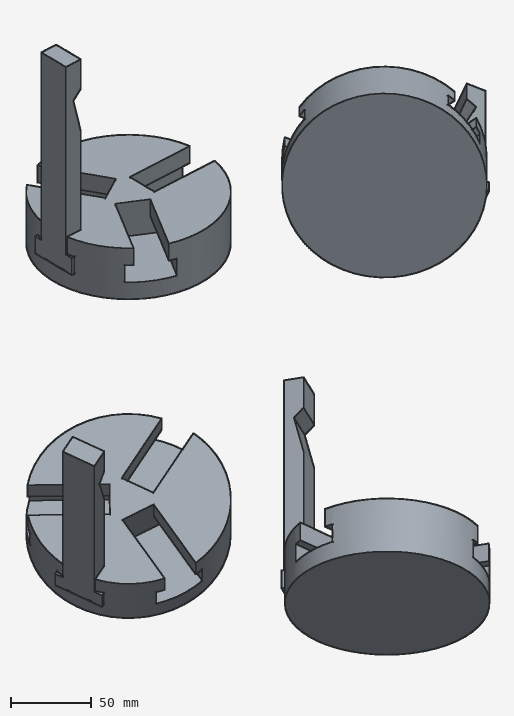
import cadquery as cq

body_diameter = 127.1
body_radius = body_diameter / 2
step_height = 12.7
body_height = 3 * step_height

neck_width = 22.5
head_width = 33.4
slot_inner_radius = 11.5
slot_angles = (90, 210, 330)

total_height = 165.1
jaw_thickness = 12.7
jaw_outer_y = -body_radius
jaw_inner_y = jaw_outer_y + jaw_thickness

notch_depth = 6.3
notch_top_z = total_height - 22.0
notch_tip_z = total_height - 28.0
notch_bottom_z = total_height - 53.3


def make_tee(y_start, y_end, top_z):
    """T-shaped prism along Y, with its wide head standing on the slot floor."""
    length = y_end - y_start
    y_middle = (y_start + y_end) / 2
    centered = (True, True, False)
    head = cq.Workplane().box(head_width, length, step_height, centered=centered)
    neck = cq.Workplane().box(neck_width, length, top_z - step_height, centered=centered)
    return head.union(neck).translate((0, y_middle, step_height))


def make_jaw():
    """Upright T-shaped jaw with a notch across its inner face."""
    notch = (
        cq.Workplane("YZ")
        .moveTo(jaw_inner_y, notch_top_z)
        .lineTo(jaw_inner_y - notch_depth, notch_tip_z)
        .lineTo(jaw_inner_y, notch_bottom_z)
        .close()
        .extrude(neck_width / 2, both=True)
    )
    return make_tee(jaw_outer_y, jaw_inner_y, total_height).cut(notch)


def make_chuck_body(jaw):
    """Disc with three radial T-slots and a recess that fits the jaw."""
    disc = cq.Workplane().circle(body_radius).extrude(body_height)
    slot = make_tee(slot_inner_radius, body_radius, body_height)
    for angle in slot_angles:
        disc = disc.cut(slot.rotate((0, 0, 0), (0, 0, 1), angle - 90))
    return disc.cut(jaw)


jaw = make_jaw()
chuck_body = make_chuck_body(jaw)
result = cq.Compound.makeCompound([chuck_body.val(), jaw.val()])